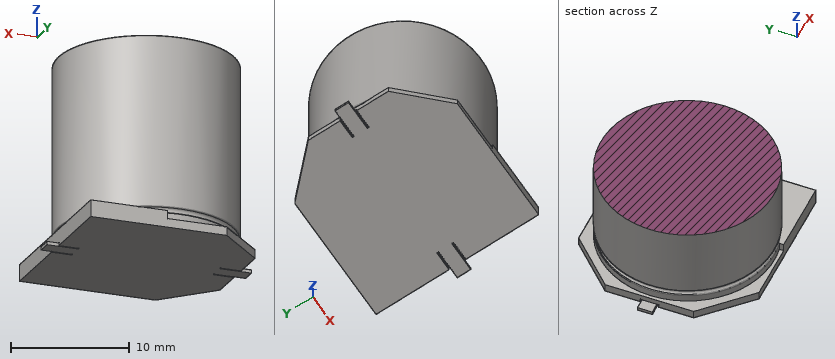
import cadquery as cq

overall_length = 18.6
overall_height = 17.5
base_side = 16.6
corner_chamfer = 4.22
floor_height = 0.78
shoulder_height = 1.5
shoulder_start_x = 1.3

can_radius = 8.0
top_edge_round = 0.1
groove_width = 0.45
groove_depth = 0.22
lip_round = 0.07

terminal_width = 1.38
terminal_thickness = 0.3
slot_width = 1.7
slot_depth = 1.86

half_base = base_side / 2


def make_base():
    """Base plate with two cut corners and a raised shoulder on the +X side."""
    base = (
        cq.Workplane("XY")
        .box(base_side, base_side, floor_height, centered=(True, True, False))
        .edges("|Z and <X")
        .chamfer(corner_chamfer)
    )
    shoulder_length = half_base - shoulder_start_x
    shoulder = (
        cq.Workplane("XY")
        .box(shoulder_length, base_side, shoulder_height, centered=(False, True, False))
        .translate((shoulder_start_x, 0, 0))
    )
    return base.union(shoulder)


def make_can():
    """Round can with a rolled groove just above the shoulder and a rounded top edge."""
    groove_top = shoulder_height + groove_width
    groove_middle = shoulder_height + groove_width / 2
    lip_radius = can_radius - lip_round
    groove_radius = can_radius - groove_depth
    profile = (
        cq.Workplane("XZ")
        .moveTo(0, floor_height)
        .lineTo(can_radius, floor_height)
        .lineTo(can_radius, shoulder_height - lip_round)
        .radiusArc((lip_radius, shoulder_height), -lip_round)
        .threePointArc((groove_radius, groove_middle), (lip_radius, groove_top))
        .radiusArc((can_radius, groove_top + lip_round), -lip_round)
        .lineTo(can_radius, overall_height)
        .lineTo(0, overall_height)
        .close()
    )
    can = profile.revolve(360, (0, 0, 0), (0, 1, 0))
    return can.faces(">Z").edges().fillet(top_edge_round)


def make_end_strip(outer_x, width, side):
    """Flat strip at the bottom, from the inner end of the slot out to outer_x."""
    inner_x = half_base - slot_depth
    length = outer_x - inner_x
    return (
        cq.Workplane("XY")
        .box(length, width, terminal_thickness, centered=(True, True, False))
        .translate((side * (inner_x + outer_x) / 2, 0, 0))
    )


result = make_base().union(make_can())
for side in (-1, 1):
    slot = make_end_strip(half_base, slot_width, side)
    terminal = make_end_strip(overall_length / 2, terminal_width, side)
    result = result.cut(slot).union(terminal)